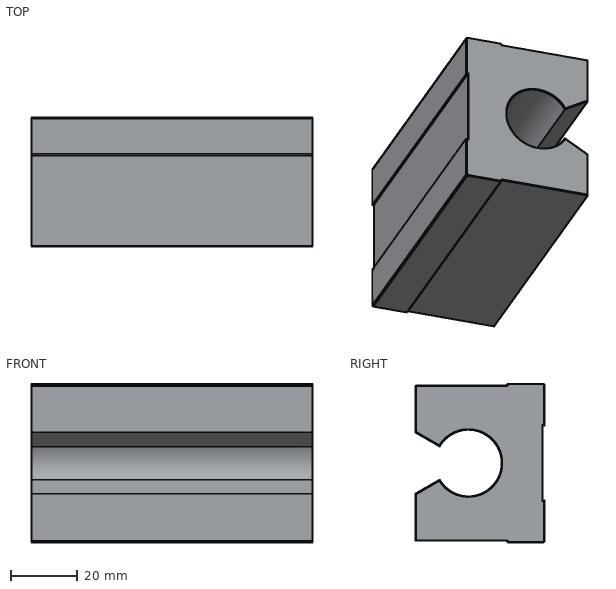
import cadquery as cq
import math

length = 85.0
depth = 39.0
height = 48.0

bore_radius = 10.0
bore_to_front = 16.0
flank_angle = math.radians(30.0)

relief = 0.5
rear_band_depth = 11.0
back_relief_height = 22.5

end_chamfer = 0.25
front_chamfer = 0.25
rear_chamfer = 0.4

front_y = -bore_to_front
back_y = front_y + depth
half_height = height / 2
body_half_height = half_height - relief
step_y = back_y - rear_band_depth


def half_outline(front_corner):
    """Points of the upper half, from the bore lip round to the back relief."""
    lip_and_flank = [
        (-bore_radius * math.cos(flank_angle), bore_radius * math.sin(flank_angle)),
        (front_y, bore_to_front * math.tan(flank_angle)),
    ]
    step_and_rear = [
        (step_y - relief, body_half_height),
        (step_y, half_height),
        (back_y - rear_chamfer, half_height),
        (back_y, half_height - rear_chamfer),
        (back_y, back_relief_height / 2),
        (back_y - relief, back_relief_height / 2),
    ]
    return lip_and_flank + front_corner + step_and_rear


def make_block():
    """Extrude the profile along the full length of the block."""
    chamfered_corner = [
        (front_y, body_half_height - front_chamfer),
        (front_y + front_chamfer, body_half_height),
    ]
    sharp_corner = [(front_y, body_half_height)]
    upper = half_outline(chamfered_corner)
    lower = [(y, -z) for y, z in reversed(half_outline(sharp_corner))]
    profile = (
        cq.Workplane("YZ", origin=(-length / 2, 0, 0))
        .polyline(upper + lower)
        .threePointArc((bore_radius, 0), upper[0])
        .close()
    )
    return profile.extrude(length)


def chamfer_ends(block):
    """Chamfer the whole outline of both end faces, bore included."""
    return block.faces("<X or >X").chamfer(end_chamfer)


result = chamfer_ends(make_block())